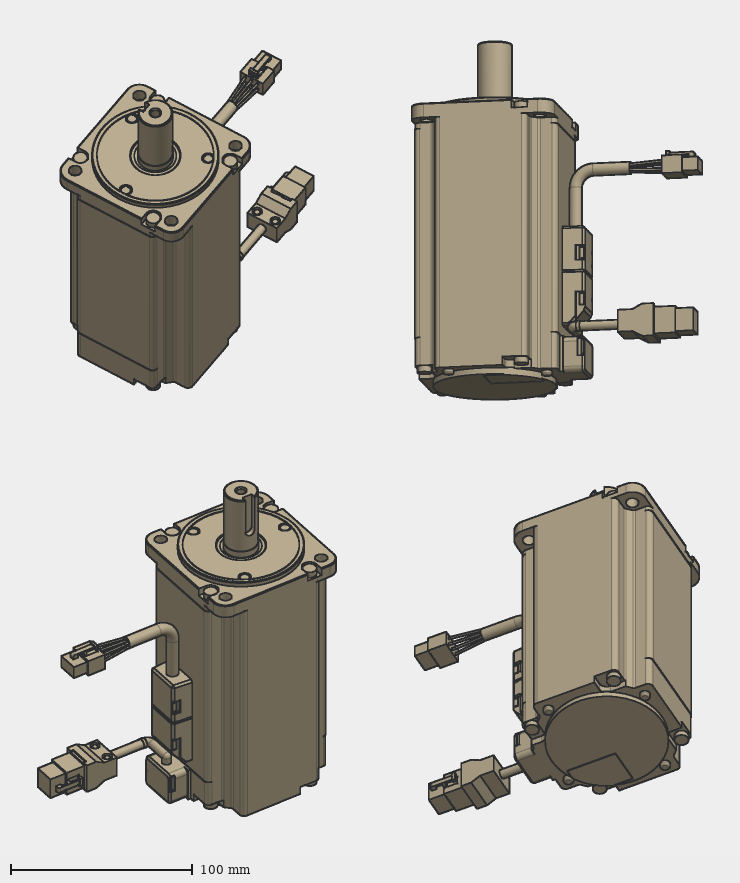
import cadquery as cq
import math

TINY = 0.5

WIDTH = 80.0
HALF = WIDTH / 2
PANEL_RISE = 0.3
FLANGE_THICKNESS = 8.0
BRACKET_END = -11.2
CASING_END = -128.8
BODY_END = -149.3
FLANGE_CORNER_RADIUS = 8.0
FLANGE_EDGE_CHAMFER = 0.5
MOUNT_HOLE_DIAMETER = 7.0
MOUNT_CIRCLE_DIAMETER = 90.0
MOUNT_PITCH = MOUNT_CIRCLE_DIAMETER / math.sqrt(2)

NOTCH_WALL = 26.0
NOTCH_DIAGONAL = 56.0
NOTCH_FILLET = 2.0
PANEL_EDGE_RADIUS = 3.0

SCREW_X, SCREW_Y = 22.0, -35.0
SCREW_HEAD_DIAMETER = 7.8
FRONT_SLOT_WIDTH = 9.0
FRONT_SLOT_DEPTH = 4.6
FRONT_HEAD_SINK = 0.9
REAR_POCKET_DEPTH = 4.7
REAR_POCKET_NEAR, REAR_POCKET_FAR = 12.5, 29.3
REAR_POCKET_WALL = 29.5
REAR_POCKET_RADIUS = 4.5
REAR_HEAD_HEIGHT = 3.5
OVERCUT = 5.0

PILOT_RADIUS = 35.0
PILOT_HEIGHT = 3.0
PILOT_CHAMFER = 0.5
PILOT_RECESS_RADIUS = 32.2
PILOT_RECESS_DEPTH = 0.5
PILOT_SCREW_CIRCLE = 29.2
PILOT_SCREW_ANGLES = (30, 150, 270)
PILOT_BORE_DIAMETER = 7.0
PILOT_BORE_DEPTH = 2.0
PILOT_SCREW_DIAMETER = 5.4
PILOT_SCREW_SINK = 0.3
SEAL_RADIUS = 14.0
SEAL_CHAMFER = 0.5
SEAL_GROOVE_RADIUS = 11.6
SEAL_DEPTH = 1.5
SEAL_LIP_RADIUS = 9.8
SEAL_LIP_TOP = 5.2
SHAFT_RADIUS = 9.5
SHAFT_LENGTH = 40.0
SHAFT_CHAMFER = 0.6
KEY_WIDTH = 6.0
KEY_DEPTH = 3.5
KEY_LENGTH = 25.0
CENTRE_HOLE_DIAMETER = 5.0
CENTRE_HOLE_MOUTH = 6.6
CENTRE_HOLE_DEPTH = 20.0
DRILL_POINT_ANGLE = 118.0

END_DISC_RADIUS = 34.0
END_DISC_BOTTOM = -152.8
LUG_X, LUG_Y = -19.2, -33.2
LUG_DIAMETER = 5.8
LUG_HEIGHT = 2.6
LUG_ROUNDING = 1.2
LABEL_X = (10.5, 32.0)
LABEL_Y = (0.0, 29.7)
BOTTOM = -153.2

POWER_BOX_TOP, POWER_BOX_BOTTOM = -66.4, -122.2
POWER_BOX_Y = 52.8
POWER_BOX_SLOPE_Y, POWER_BOX_SLOPE_Z = 44.8, -113.0
POWER_BOX_ROOT_HALF, POWER_BOX_FACE_HALF = 12.0, 10.9
POWER_BOX_CHAMFER = 1.3
POWER_SPLIT_Z = -91.2
POWER_SPLIT_WIDTH, POWER_SPLIT_DEPTH = 1.2, 0.5
POWER_CLIP_Y = 47.6
UPPER_TOOTH_Z = (-84.6, -78.3)
LOWER_TOOTH_Z = (-110.7, -104.4)
CLIP_DEPTH = 1.2
CLIP_TOOTH_GAP = 2.0
CLIP_MARGIN = 1.0
POWER_CABLE_RADIUS = 3.5
POWER_CABLE_Y, POWER_CABLE_Z = 45.5, -32.8
POWER_BEND = 10.0
POWER_CABLE_END = 76.2
POWER_PLUG_START, POWER_PLUG_STEP, POWER_PLUG_END = 95.3, 106.5, 115.3
POWER_PLUG_Z = -33.1
POWER_PLUG_REAR = (15.0, 9.9)
POWER_PLUG_FRONT = (12.5, 7.6)
WIRE_RADIUS = 0.7
WIRE_SPREAD_X = (2.4, 4.2)
WIRE_SPREAD_Z = (1.4, 2.4)

LATCH_HALF_WIDTH = 1.6
LATCH_TAIL_HALF_WIDTH = 2.7
LATCH_LENGTH = 15.8
LATCH_TAIL_LENGTH = 1.8
LATCH_POST = (6.8, 8.6)
LATCH_HOOK_LENGTH = 3.2
LATCH_HOOK_ROUNDING = 1.4
LATCH_GAP = 1.5
LATCH_THICKNESS = 1.3
LATCH_TAIL_RISE = 0.7
LATCH_HOOK_CLEARANCE = 0.1
TRACK_HALF_WIDTH = 2.8
TRACK_DEPTH = 0.8
POWER_LATCH_START, ENCODER_LATCH_START = 1.4, 3.5

ENCODER_BOX_X = (-8.7, 15.6)
ENCODER_BOX_Y = 53.4
ENCODER_BOX_TOP = -129.2
ENCODER_BOX_RADIUS = 3.0
ENCODER_BOX_CHAMFER = 1.2
ENCODER_CLIP_Y = 49.5
ENCODER_TOOTH_Z = (-139.4, -131.6)
ENCODER_BASE_Y = 41.6
ENCODER_BASE_EXTRA = 1.0
ENCODER_CABLE_RADIUS = 2.65
ENCODER_CABLE_Y, ENCODER_CABLE_Z = 47.2, -125.1
ENCODER_CABLE_X = 20.5
ENCODER_BEND = 3.2
COLLAR_Y = (50.3, 52.3)
COLLAR_RISE = 0.25
HOOD_START, HOOD_FLARE_START, HOOD_FLARE_END, HOOD_END = 75.2, 83.5, 89.0, 95.2
HOOD_X = (10.7, 30.2)
HOOD_NECK_HALF, HOOD_HALF = 6.2, 9.1
HOOD_STEP_LENGTH, HOOD_STEP_DEPTH = 1.8, 0.8
HOOD_STEP_HALF = 6.3
HOOD_SCREW_Y, HOOD_SCREW_SPACING = 79.1, 12.0
HOOD_BORE_DIAMETER, HOOD_SCREW_DIAMETER = 5.4, 3.4
HOOD_BORE_DEPTH, HOOD_SCREW_SINK = 2.0, 0.6
ENCODER_PLUG_STEP, ENCODER_PLUG_END = 107.0, 117.0
ENCODER_PLUG_REAR = (15.0, 14.8)
ENCODER_PLUG_FRONT = (12.9, 12.4)


def block(x, y, z):
    """Box between two limits on each axis."""
    limits = (x, y, z)
    size = [abs(b - a) for a, b in limits]
    middle = [(a + b) / 2 for a, b in limits]
    return cq.Workplane("XY").box(*size).translate(tuple(middle))


def disc(radius, bottom, top, centre=(0, 0)):
    """Upright cylinder between two heights."""
    return cq.Workplane("XY", origin=(*centre, bottom)).circle(radius).extrude(top - bottom)


def four_around(shape):
    """The shape repeated at quarter turns about the motor axis."""
    copies = shape
    for turn in (90, 180, 270):
        copies = copies.union(shape.rotate((0, 0, 0), (0, 0, 1), turn))
    return copies


def notched_column(half_y, bottom, top):
    """Square column whose corners are cut by notches with a slanted inner face."""
    length = top - bottom
    column = cq.Workplane("XY", origin=(0, 0, bottom)).rect(WIDTH, 2 * half_y).extrude(length)
    outside = HALF + OVERCUT
    slant = NOTCH_DIAGONAL - NOTCH_WALL
    notch = (
        cq.Workplane("XY", origin=(0, 0, bottom))
        .polyline([
            (outside, NOTCH_WALL),
            (slant, NOTCH_WALL),
            (NOTCH_WALL, slant),
            (NOTCH_WALL, outside),
            (outside, outside),
        ])
        .close()
        .extrude(length)
    )
    inner_edges = cq.selectors.BoxSelector(
        (0, 0, bottom), (slant + TINY, slant + TINY, top)
    )
    notch = notch.edges("|Z").edges(inner_edges).fillet(NOTCH_FILLET)
    column = column.cut(four_around(notch))
    for sx in (-1, 1):
        for sy in (-1, 1):
            for x, y in ((HALF, NOTCH_WALL), (NOTCH_WALL, half_y)):
                corner = cq.selectors.BoxSelector(
                    (sx * x - TINY, sy * y - TINY, bottom),
                    (sx * x + TINY, sy * y + TINY, top),
                )
                column = column.edges("|Z").edges(corner).fillet(PANEL_EDGE_RADIUS)
    return column


def make_flange():
    flange = (
        cq.Workplane("XY", origin=(0, 0, -FLANGE_THICKNESS))
        .rect(WIDTH, WIDTH)
        .extrude(FLANGE_THICKNESS)
        .edges("|Z")
        .fillet(FLANGE_CORNER_RADIUS)
        .faces(">Z")
        .chamfer(FLANGE_EDGE_CHAMFER)
    )
    holes = (
        cq.Workplane("XY")
        .rect(MOUNT_PITCH, MOUNT_PITCH, forConstruction=True)
        .vertices()
        .circle(MOUNT_HOLE_DIAMETER / 2)
        .extrude(-FLANGE_THICKNESS)
    )
    return flange.cut(holes)


def make_body():
    bracket = notched_column(HALF, BRACKET_END, -FLANGE_THICKNESS)
    casing = notched_column(HALF + PANEL_RISE, CASING_END, BRACKET_END)
    rear_cover = notched_column(HALF, BODY_END, CASING_END)
    body = make_flange().union(bracket).union(casing).union(rear_cover)
    return add_tie_screws(body)


def add_tie_screws(body):
    """Screws sunk in edge slots of the flange and in pockets of the rear cover."""
    edge = -HALF - OVERCUT
    half_slot = FRONT_SLOT_WIDTH / 2
    slot = disc(half_slot, -FRONT_SLOT_DEPTH, 1, (SCREW_X, SCREW_Y)).union(
        block(
            (SCREW_X - half_slot, SCREW_X + half_slot),
            (edge, SCREW_Y),
            (-FRONT_SLOT_DEPTH, 1),
        )
    )
    front_head = disc(
        SCREW_HEAD_DIAMETER / 2, -FRONT_SLOT_DEPTH - TINY, -FRONT_HEAD_SINK, (SCREW_X, SCREW_Y)
    )
    pocket_top = BODY_END + REAR_POCKET_DEPTH
    pocket = (
        block(
            (REAR_POCKET_NEAR, REAR_POCKET_FAR),
            (edge, -REAR_POCKET_WALL),
            (BODY_END - 1, pocket_top),
        )
        .edges("|Z and <X and >Y")
        .fillet(REAR_POCKET_RADIUS)
    )
    rear_head = disc(
        SCREW_HEAD_DIAMETER / 2, pocket_top - REAR_HEAD_HEIGHT, pocket_top + TINY, (SCREW_X, SCREW_Y)
    )
    body = body.cut(four_around(slot)).union(four_around(front_head))
    return body.cut(four_around(pocket)).union(four_around(rear_head))


def make_pilot():
    floor = PILOT_HEIGHT - PILOT_RECESS_DEPTH
    pilot = disc(PILOT_RADIUS, -TINY, PILOT_HEIGHT).faces(">Z").chamfer(PILOT_CHAMFER)
    pilot = pilot.cut(disc(PILOT_RECESS_RADIUS, floor, PILOT_HEIGHT))
    for angle in PILOT_SCREW_ANGLES:
        place = (
            PILOT_SCREW_CIRCLE * math.cos(math.radians(angle)),
            PILOT_SCREW_CIRCLE * math.sin(math.radians(angle)),
        )
        bore = disc(PILOT_BORE_DIAMETER / 2, floor - PILOT_BORE_DEPTH, floor, place)
        bore = bore.intersect(disc(PILOT_RECESS_RADIUS, -TINY, PILOT_HEIGHT))
        screw = disc(
            PILOT_SCREW_DIAMETER / 2, floor - PILOT_BORE_DEPTH - TINY, floor - PILOT_SCREW_SINK, place
        )
        pilot = pilot.cut(bore).union(screw)
    return add_shaft_seal(pilot, floor)


def add_shaft_seal(pilot, floor):
    """Shallow chamfered seat with a deeper conical groove, and the lip hugging the shaft."""
    seat = (
        cq.Workplane("XZ")
        .polyline([
            (0, floor),
            (SEAL_RADIUS, floor),
            (SEAL_RADIUS - SEAL_CHAMFER, floor - SEAL_CHAMFER),
            (SEAL_GROOVE_RADIUS, floor - SEAL_CHAMFER),
            (SHAFT_RADIUS, floor - SEAL_DEPTH),
            (0, floor - SEAL_DEPTH),
        ])
        .close()
        .revolve(360, (0, 0, 0), (0, 1, 0))
    )
    lip = disc(SEAL_LIP_RADIUS, floor - SEAL_DEPTH - TINY, SEAL_LIP_TOP)
    return pilot.cut(seat).union(lip)


def make_shaft():
    shaft = disc(SHAFT_RADIUS, -TINY, SHAFT_LENGTH).faces(">Z").chamfer(SHAFT_CHAMFER)
    half_key = KEY_WIDTH / 2
    key_end = SHAFT_LENGTH - KEY_LENGTH + half_key
    key_floor = -(SHAFT_RADIUS - KEY_DEPTH)
    keyway = block((-SHAFT_RADIUS - 1, key_floor), (-half_key, half_key), (key_end, SHAFT_LENGTH + 1))
    round_end = (
        cq.Workplane("YZ", origin=(key_floor, 0, 0))
        .center(0, key_end)
        .circle(half_key)
        .extrude(-SHAFT_RADIUS)
    )
    shaft = shaft.cut(keyway).cut(round_end)
    hole_radius = CENTRE_HOLE_DIAMETER / 2
    hole_bottom = SHAFT_LENGTH - CENTRE_HOLE_DEPTH
    point_depth = hole_radius / math.tan(math.radians(DRILL_POINT_ANGLE / 2))
    mouth_depth = (CENTRE_HOLE_MOUTH - CENTRE_HOLE_DIAMETER) / 2
    mouth_floor = SHAFT_LENGTH - mouth_depth
    centre_hole = (
        cq.Workplane("XZ")
        .polyline([
            (0, hole_bottom - point_depth),
            (hole_radius, hole_bottom),
            (hole_radius, mouth_floor),
            (CENTRE_HOLE_MOUTH / 2, SHAFT_LENGTH),
            (0, SHAFT_LENGTH),
        ])
        .close()
        .revolve(360, (0, 0, 0), (0, 1, 0))
    )
    return shaft.cut(centre_hole)


def make_end_plate():
    plate = disc(END_DISC_RADIUS, END_DISC_BOTTOM, BODY_END + TINY)
    lug = disc(LUG_DIAMETER / 2, BODY_END - LUG_HEIGHT, BODY_END + TINY, (LUG_X, LUG_Y))
    lug = lug.faces("<Z").edges().fillet(LUG_ROUNDING)
    label = block(LABEL_X, LABEL_Y, (BOTTOM, END_DISC_BOTTOM + TINY))
    label = label.intersect(disc(END_DISC_RADIUS, BOTTOM, BODY_END))
    return plate.union(four_around(lug)).union(label)


def cut_clip_window(box, sides, y, window_z, tooth_z):
    """Recess in both sides of a cover, with a snap tooth standing inside it."""
    left, right = sides
    for side, inward in ((left, 1), (right, -1)):
        window = block((side - inward, side + inward * CLIP_DEPTH), y, window_z)
        tooth = block(
            (side + inward * CLIP_DEPTH / 2, side + inward * (CLIP_DEPTH + TINY)),
            (y[0] + CLIP_TOOTH_GAP, y[1]),
            tooth_z,
        )
        box = box.cut(window.cut(tooth))
    return box


def make_power_box():
    """Terminal box with a sloped lower end and tapered sides."""
    side = (
        cq.Workplane("YZ", origin=(-POWER_BOX_ROOT_HALF, 0, 0))
        .polyline([
            (HALF - TINY, POWER_BOX_TOP),
            (POWER_BOX_Y, POWER_BOX_TOP),
            (POWER_BOX_Y, POWER_BOX_SLOPE_Z),
            (POWER_BOX_SLOPE_Y, POWER_BOX_BOTTOM),
            (HALF - TINY, POWER_BOX_BOTTOM),
        ])
        .close()
        .extrude(2 * POWER_BOX_ROOT_HALF)
    )
    taper = (
        cq.Workplane("XY", origin=(0, 0, POWER_BOX_BOTTOM))
        .polyline([
            (-POWER_BOX_ROOT_HALF, HALF - TINY),
            (POWER_BOX_ROOT_HALF, HALF - TINY),
            (POWER_BOX_FACE_HALF, POWER_BOX_Y),
            (-POWER_BOX_FACE_HALF, POWER_BOX_Y),
        ])
        .close()
        .extrude(POWER_BOX_TOP - POWER_BOX_BOTTOM)
    )
    box = side.intersect(taper).edges(
        cq.selectors.BoxSelector(
            (-2 * HALF, HALF, POWER_BOX_BOTTOM - 1), (2 * HALF, POWER_BOX_Y + 1, POWER_BOX_TOP + 1)
        )
    ).chamfer(POWER_BOX_CHAMFER)
    far = POWER_BOX_ROOT_HALF + 1
    split_z = (POWER_SPLIT_Z - POWER_SPLIT_WIDTH, POWER_SPLIT_Z)
    split = block((-far, far), (HALF, POWER_BOX_Y + 1), split_z)
    core_half = POWER_BOX_FACE_HALF - POWER_SPLIT_DEPTH
    core = block((-core_half, core_half), (HALF, POWER_BOX_Y - POWER_SPLIT_DEPTH), split_z)
    box = box.cut(split.cut(core))
    sides = (-POWER_BOX_FACE_HALF, POWER_BOX_FACE_HALF)
    window_y = (POWER_CLIP_Y, POWER_BOX_Y + 1)
    upper, lower = UPPER_TOOTH_Z, LOWER_TOOTH_Z
    upper_window = (upper[0] - CLIP_MARGIN, upper[1] + CLIP_MARGIN)
    lower_window = (POWER_BOX_BOTTOM, lower[1] + CLIP_MARGIN)
    box = cut_clip_window(box, sides, window_y, upper_window, upper)
    return cut_clip_window(box, sides, window_y, lower_window, lower)


def make_power_cable():
    path = (
        cq.Workplane("YZ")
        .moveTo(POWER_CABLE_Y, POWER_BOX_TOP - TINY)
        .lineTo(POWER_CABLE_Y, POWER_CABLE_Z - POWER_BEND)
        .radiusArc((POWER_CABLE_Y + POWER_BEND, POWER_CABLE_Z), POWER_BEND)
        .lineTo(POWER_CABLE_END, POWER_CABLE_Z)
    )
    sheath = (
        cq.Workplane("XY", origin=(0, POWER_CABLE_Y, POWER_BOX_TOP - TINY))
        .circle(POWER_CABLE_RADIUS)
        .sweep(path)
    )
    for column in (-1, 0, 1):
        for row in (-1, 1):
            start = cq.Vector(
                column * WIRE_SPREAD_X[0], POWER_CABLE_END - TINY, POWER_CABLE_Z + row * WIRE_SPREAD_Z[0]
            )
            end = cq.Vector(
                column * WIRE_SPREAD_X[1], POWER_PLUG_START + TINY, POWER_CABLE_Z + row * WIRE_SPREAD_Z[1]
            )
            along = end - start
            sheath = sheath.union(
                cq.Workplane("XY").add(cq.Solid.makeCylinder(WIRE_RADIUS, along.Length, start, along))
            )
    return sheath


def make_latch(base, start):
    """Sprung latch along +Y above a plug face at height base; its rear end is at Y = start."""
    beam_bottom = base + LATCH_GAP
    beam_top = beam_bottom + LATCH_THICKNESS
    across = (-LATCH_HALF_WIDTH, LATCH_HALF_WIDTH)
    tail_across = (-LATCH_TAIL_HALF_WIDTH, LATCH_TAIL_HALF_WIDTH)
    tip = start + LATCH_LENGTH
    hook_start = tip - LATCH_HOOK_LENGTH
    beam = block(across, (start, hook_start + TINY), (beam_bottom, beam_top))
    post = block(
        across,
        (start + LATCH_POST[0], start + LATCH_POST[1]),
        (base - TRACK_DEPTH - TINY, beam_bottom + TINY),
    )
    hook = (
        block(across, (hook_start, tip), (base + LATCH_HOOK_CLEARANCE, beam_top))
        .edges("|X and >Y and >Z")
        .fillet(LATCH_HOOK_ROUNDING)
    )
    tail = block(
        tail_across, (start, start + LATCH_TAIL_LENGTH), (beam_bottom, beam_top + LATCH_TAIL_RISE)
    )
    return beam.union(post).union(hook).union(tail)


def make_plug(rear_size, rear_length, front_size, length, latch_start):
    """Two-step plug along +Y from the origin, with a latch over a relieved track on its top face."""
    (rear_x, rear_z), (front_x, front_z) = rear_size, front_size
    rear = block((-rear_x / 2, rear_x / 2), (0, rear_length), (-rear_z / 2, rear_z / 2))
    front = block((-front_x / 2, front_x / 2), (rear_length - TINY, length), (-front_z / 2, front_z / 2))
    top = rear_z / 2
    track = block(
        (-TRACK_HALF_WIDTH, TRACK_HALF_WIDTH), (latch_start, rear_length), (top - TRACK_DEPTH, top)
    )
    return rear.cut(track).union(front).union(make_latch(top, latch_start))


def make_power_plug():
    plug = make_plug(
        POWER_PLUG_REAR,
        POWER_PLUG_STEP - POWER_PLUG_START,
        POWER_PLUG_FRONT,
        POWER_PLUG_END - POWER_PLUG_START,
        POWER_LATCH_START,
    )
    return plug.translate((0, POWER_PLUG_START, POWER_PLUG_Z))


def make_encoder_plug():
    """The plug is turned so that its latch faces -X."""
    plug = make_plug(
        ENCODER_PLUG_REAR,
        ENCODER_PLUG_STEP - HOOD_END,
        ENCODER_PLUG_FRONT,
        ENCODER_PLUG_END - HOOD_END,
        ENCODER_LATCH_START,
    )
    plug = plug.rotate((0, 0, 0), (0, 1, 0), -90)
    return plug.translate((ENCODER_CABLE_X, HOOD_END, ENCODER_CABLE_Z))


def make_encoder_box():
    box = (
        block(ENCODER_BOX_X, (HALF - TINY, ENCODER_BOX_Y), (BODY_END, ENCODER_BOX_TOP))
        .edges("|Y")
        .fillet(ENCODER_BOX_RADIUS)
        .faces(">Y")
        .chamfer(ENCODER_BOX_CHAMFER)
    )
    tooth = ENCODER_TOOTH_Z
    window = (tooth[0] - CLIP_MARGIN, tooth[1] + CLIP_MARGIN)
    box = cut_clip_window(box, ENCODER_BOX_X, (ENCODER_CLIP_Y, ENCODER_BOX_Y + 1), window, tooth)
    base_x = (ENCODER_BOX_X[0] - ENCODER_BASE_EXTRA, ENCODER_BOX_X[1] + ENCODER_BASE_EXTRA)
    return box.union(block(base_x, (HALF - TINY, ENCODER_BASE_Y), (BODY_END, ENCODER_BOX_TOP)))


def make_encoder_cable():
    """Riser out of the encoder box, a turn to +X and a turn to +Y into the hood."""
    riser_x = sum(ENCODER_BOX_X) / 2
    y, z, bend = ENCODER_CABLE_Y, ENCODER_CABLE_Z, ENCODER_BEND
    riser = disc(ENCODER_CABLE_RADIUS, ENCODER_BOX_TOP - TINY, z, (riser_x, y))
    riser = riser.union(cq.Workplane("XY").sphere(ENCODER_CABLE_RADIUS).translate((riser_x, y, z)))
    path = (
        cq.Workplane("XY", origin=(0, 0, z))
        .moveTo(riser_x, y)
        .lineTo(ENCODER_CABLE_X - bend, y)
        .radiusArc((ENCODER_CABLE_X, y + bend), -bend)
        .lineTo(ENCODER_CABLE_X, HOOD_START + TINY)
    )
    run = cq.Workplane("YZ", origin=(riser_x, y, z)).circle(ENCODER_CABLE_RADIUS).sweep(path)
    collar = (
        cq.Workplane("XZ", origin=(ENCODER_CABLE_X, COLLAR_Y[0], z))
        .circle(ENCODER_CABLE_RADIUS + COLLAR_RISE)
        .extrude(COLLAR_Y[0] - COLLAR_Y[1])
    )
    return riser.union(run).union(collar)


def make_encoder_hood():
    """Cable hood, thin at the cable end and flared towards the plug."""
    upper = [
        (HOOD_START, HOOD_NECK_HALF),
        (HOOD_FLARE_START, HOOD_NECK_HALF),
        (HOOD_FLARE_END, HOOD_HALF),
        (HOOD_END, HOOD_HALF),
    ]
    lower = [(y, -z) for y, z in reversed(upper)]
    hood = (
        cq.Workplane("YZ", origin=(HOOD_X[0], 0, ENCODER_CABLE_Z))
        .polyline(upper + lower)
        .close()
        .extrude(HOOD_X[1] - HOOD_X[0])
    )
    top = ENCODER_CABLE_Z + HOOD_HALF
    hood = hood.cut(
        block(
            (ENCODER_CABLE_X - HOOD_STEP_HALF, ENCODER_CABLE_X + HOOD_STEP_HALF),
            (HOOD_END - HOOD_STEP_LENGTH, HOOD_END),
            (top - HOOD_STEP_DEPTH, top),
        )
    )
    neck_top = ENCODER_CABLE_Z + HOOD_NECK_HALF
    for side in (-1, 1):
        place = (ENCODER_CABLE_X + side * HOOD_SCREW_SPACING / 2, HOOD_SCREW_Y)
        bore = disc(HOOD_BORE_DIAMETER / 2, neck_top - HOOD_BORE_DEPTH, neck_top, place)
        screw = disc(HOOD_SCREW_DIAMETER / 2, neck_top - HOOD_BORE_DEPTH, neck_top - HOOD_SCREW_SINK, place)
        hood = hood.cut(bore.cut(screw))
    return hood


result = make_body()
for piece in (
    make_pilot(),
    make_shaft(),
    make_end_plate(),
    make_power_box(),
    make_power_cable(),
    make_power_plug(),
    make_encoder_box(),
    make_encoder_cable(),
    make_encoder_hood(),
    make_encoder_plug(),
):
    result = result.union(piece)